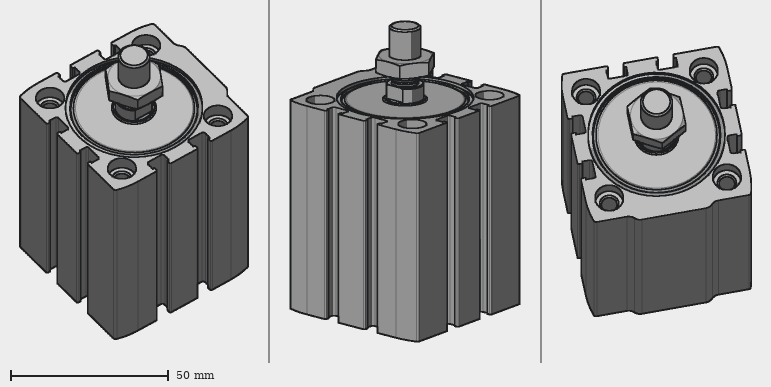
import cadquery as cq
import math

half_width = 26.51
hump_y = 28.4
body_height = 69.5
side_flat_half = 18.4
side_arc_radius = 25.2
corner_round = 0.9
hump_top_half = 10.3
hump_foot_half = 14.8

slot_offset = 8.0
slot_mouth_width = 5.05
slot_inner_width = 6.45
slot_mouth_round = 0.5
side_slot_lip = 1.6
front_slot_lip = 1.4
side_slot_depth = 4.8
front_slot_depth = 4.5
side_slot_round = 0.8
front_slot_round = 0.6

mount_offset = 19.0
mount_hole_dia = 5.0
mount_chamfer_dia = 6.1
counterbore_dia = 9.0
counterbore_depth = 4.5

head_recess = 0.42
bore_radius = 43.4 / 2
bore_wall_depth = 1.1
shoulder_depth = 0.33
gap_width = 0.3
gap_depth = 1.26
head_radius = 40.0 / 2
bevel_radius = 19.2
bevel_depth = 0.6
head_face_radius = 18.6
lip_outer_dia = 14.1
lip_inner_dia = 13.1
lip_height = 0.4

total_height = 93.5
rod_dia = 12.0
rod_insertion = 18.7
rod_shoulder_z = 74.4
rod_edge_chamfer = 0.3
flat_half_width = 10.0 / 2
flat_end_z = body_height + 0.3
flat_end_slope = math.radians(30)
thread_dia = 10.0
thread_start_z = 76.8
thread_tip_dia = 8.6
thread_tip_height = 0.6
runout_dia = 9.0
runout_z = 75.8
neck_dia = 8.1
neck_top_z = 75.6
neck_flare_dia = 8.6
neck_flare_z = 75.1

nut_across_flats = 17.0
nut_bottom_z = 78.5
nut_height = 5.05
nut_face_dia = 16.6
nut_chamfer_angle = math.radians(15)


def revolve_profile(points):
    """Revolve a closed (radius, z) polygon about the Z axis."""
    return cq.Workplane("XZ").polyline(points).close().revolve(360, (0, 0, 0), (0, 1, 0))


def side_arc_x(y):
    """X of the curved part of the side at a given distance from the centre."""
    rise = abs(y) - side_flat_half
    return half_width - side_arc_radius + math.sqrt(side_arc_radius**2 - rise**2)


def make_block():
    """Extruded outline: flat sides, curved flanks and rounded corners."""
    flank_y = (side_flat_half + half_width) / 2
    flank_x = side_arc_x(flank_y)
    corner_x = side_arc_x(half_width)
    block = (
        cq.Workplane("XY")
        .moveTo(0, -half_width)
        .lineTo(corner_x, -half_width)
        .threePointArc((flank_x, -flank_y), (half_width, -side_flat_half))
        .lineTo(half_width, side_flat_half)
        .threePointArc((flank_x, flank_y), (corner_x, half_width))
        .lineTo(0, half_width)
        .mirrorY()
        .extrude(body_height)
    )
    corners = block.edges("|Z").edges("<Y or >Y")
    return corners.fillet(corner_round)


def make_hump():
    """Rear hump whose ends are S-curves of two equal arcs, tangent to the flats they join."""
    flank_x = (hump_top_half + hump_foot_half) / 2
    flank_y = (half_width + hump_y) / 2
    return (
        cq.Workplane("XY")
        .moveTo(0, hump_y)
        .lineTo(hump_top_half, hump_y)
        .tangentArcPoint((flank_x, flank_y), relative=False)
        .tangentArcPoint((hump_foot_half, half_width), relative=False)
        .lineTo(hump_foot_half, 0)
        .lineTo(0, 0)
        .mirrorY()
        .extrude(body_height)
    )


def make_slot(depth, lip, bottom_round):
    """T-slot opening toward +X with rounded mouth corners, its mouth on the YZ plane."""
    mouth_half = slot_mouth_width / 2
    flared_half = mouth_half + slot_mouth_round
    mouth = (
        cq.Workplane("XY")
        .moveTo(-lip, -mouth_half)
        .lineTo(-slot_mouth_round, -mouth_half)
        .radiusArc((0, -flared_half), slot_mouth_round)
        .lineTo(0, flared_half)
        .radiusArc((-slot_mouth_round, mouth_half), slot_mouth_round)
        .lineTo(-lip, mouth_half)
        .close()
        .extrude(body_height)
    )
    pocket = (
        cq.Workplane("XY")
        .box(depth - lip, slot_inner_width, body_height, centered=(True, True, False))
        .translate((-(depth + lip) / 2, 0, 0))
    )
    pocket = pocket.edges("|Z and <X").fillet(bottom_round)
    return mouth.union(pocket)


def cut_slots(body):
    """Two slots in each side face and two in the front face."""
    side_slot = make_slot(side_slot_depth, side_slot_lip, side_slot_round)
    front_slot = make_slot(front_slot_depth, front_slot_lip, front_slot_round)
    front_slot = front_slot.rotate((0, 0, 0), (0, 0, 1), -90)
    for offset in (-slot_offset, slot_offset):
        right_slot = side_slot.translate((half_width, offset, 0))
        body = body.cut(right_slot)
        body = body.cut(right_slot.mirror("YZ"))
        body = body.cut(front_slot.translate((offset, -half_width, 0)))
    return body


def make_mount_hole():
    """Through hole with a counterbore and a 45 degree chamfer at the counterbore floor."""
    hole_radius = mount_hole_dia / 2
    chamfer_radius = mount_chamfer_dia / 2
    floor_z = body_height - counterbore_depth
    return revolve_profile([
        (0, 0),
        (hole_radius, 0),
        (hole_radius, floor_z - (chamfer_radius - hole_radius)),
        (chamfer_radius, floor_z),
        (counterbore_dia / 2, floor_z),
        (counterbore_dia / 2, body_height),
        (0, body_height),
    ])


def make_head_recess():
    """Space above the stepped head face: bore wall, conical shoulder, narrow gap, bevel, lip."""
    head_z = body_height - head_recess
    lip_z = head_z + lip_height
    shoulder_radius = head_radius + gap_width
    return revolve_profile([
        (0, body_height),
        (bore_radius, body_height),
        (bore_radius, body_height - bore_wall_depth),
        (shoulder_radius, body_height - shoulder_depth),
        (shoulder_radius, body_height - gap_depth),
        (head_radius, body_height - gap_depth),
        (bevel_radius, body_height - bevel_depth),
        (head_face_radius, head_z),
        (lip_outer_dia / 2, head_z),
        (lip_inner_dia / 2, lip_z),
        (0, lip_z),
    ])


def make_housing():
    housing = cut_slots(make_block().union(make_hump()))
    mount_hole = make_mount_hole()
    for x in (-mount_offset, mount_offset):
        for y in (-mount_offset, mount_offset):
            housing = housing.cut(mount_hole.translate((x, y, 0)))
    rod_hole = (
        cq.Workplane("XY", origin=(0, 0, body_height - rod_insertion))
        .circle(rod_dia / 2)
        .extrude(rod_insertion)
    )
    return housing.cut(make_head_recess()).cut(rod_hole)


def make_flat_cutter():
    """Material beyond the +X wrench flat, ending in a slope that runs out through the rod."""
    reach = rod_dia
    drop = (reach - flat_half_width) * math.tan(flat_end_slope)
    return (
        cq.Workplane("XZ")
        .polyline([
            (flat_half_width, flat_end_z),
            (reach, flat_end_z - drop),
            (reach, rod_shoulder_z),
            (flat_half_width, rod_shoulder_z),
        ])
        .close()
        .extrude(rod_dia / 2, both=True)
    )


def make_rod():
    rod_radius = rod_dia / 2
    neck_radius = neck_dia / 2
    thread_radius = thread_dia / 2
    rod = revolve_profile([
        (0, body_height - rod_insertion),
        (rod_radius, body_height - rod_insertion),
        (rod_radius, rod_shoulder_z - rod_edge_chamfer),
        (rod_radius - rod_edge_chamfer, rod_shoulder_z),
        (neck_flare_dia / 2, rod_shoulder_z),
        (neck_radius, neck_flare_z),
        (neck_radius, neck_top_z),
        (runout_dia / 2, runout_z),
        (thread_radius, thread_start_z),
        (thread_radius, total_height - thread_tip_height),
        (thread_tip_dia / 2, total_height),
        (0, total_height),
    ])
    flat_cutter = make_flat_cutter()
    return rod.cut(flat_cutter).cut(flat_cutter.mirror("YZ"))


def make_nut():
    """Hexagon nut with corners on the Y axis, chamfered on both faces."""
    corner_radius = nut_across_flats / math.sqrt(3)
    face_radius = nut_face_dia / 2
    chamfer_drop = (corner_radius - face_radius) * math.tan(nut_chamfer_angle)
    hexagon = (
        cq.Workplane("XY")
        .polygon(6, 2 * corner_radius)
        .extrude(nut_height)
        .rotate((0, 0, 0), (0, 0, 1), 30)
    )
    turned_blank = revolve_profile([
        (thread_dia / 2, 0),
        (face_radius, 0),
        (corner_radius, chamfer_drop),
        (corner_radius, nut_height - chamfer_drop),
        (face_radius, nut_height),
        (thread_dia / 2, nut_height),
    ])
    return hexagon.intersect(turned_blank).translate((0, 0, nut_bottom_z))


housing = make_housing()
rod = make_rod()
nut = make_nut()

result = cq.Compound.makeCompound([housing.val(), rod.val(), nut.val()])